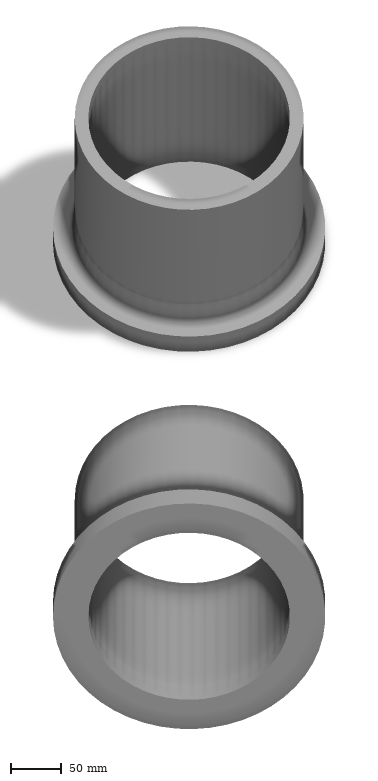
import cadquery as cq
import math

flange_radius = 134.0
flange_height = 25.0
total_height = 205.0
pipe_radius = 112.5
bore_radius = 99.2

neck_top = 49.5
neck_base_radius = 114.7
fillet_radius = 4.3
neck_base = flange_height + fillet_radius
fillet_outer_radius = neck_base_radius + fillet_radius

fillet_offset = fillet_radius * math.sqrt(0.5)
fillet_middle = (fillet_outer_radius - fillet_offset, neck_base - fillet_offset)

half_section = (
    cq.Workplane("XZ")
    .moveTo(bore_radius, 0)
    .lineTo(flange_radius, 0)
    .lineTo(flange_radius, flange_height)
    .lineTo(fillet_outer_radius, flange_height)
    .threePointArc(fillet_middle, (neck_base_radius, neck_base))
    .lineTo(pipe_radius, neck_top)
    .lineTo(pipe_radius, total_height)
    .lineTo(bore_radius, total_height)
    .close()
)

result = half_section.revolve(360, (0, 0, 0), (0, 1, 0))